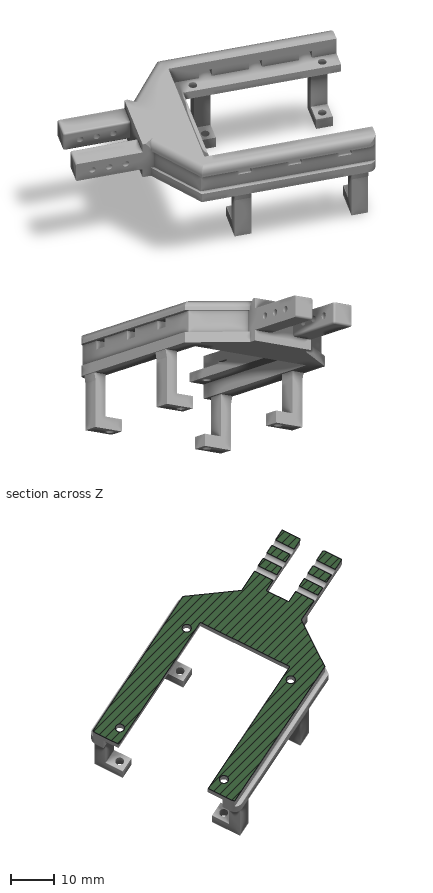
import cadquery as cq
import math

body_width = 40.0
body_length = 53.0
body_height = 10.15
shoulder_y = 11.0
nose_length = 2.0
nose_width = 16.0
top_fillet = 1.7
fillet_runout = 0.75
back_corner_radius = 1.9

groove_depth = 1.05
groove_bottom = 2.5
groove_top = 7.65

pocket_width = 31.75
pocket_front_y = 12.7
opening_width = 23.8
opening_front_y = 15.1
ledge_top = 5.6
ledge_thickness = 2.2
ledge_bottom = ledge_top - ledge_thickness

hole_diameter = 2.0
hole_x = (pocket_width + opening_width) / 4
hole_back_offset = 4.0
hole_pitch = 31.0

slot_width = 3.1
slot_back_offset = 5.85
slot_pitch = 12.0
slot_count = 3

leg_height = 13.0
leg_width = 4.0
leg_outer_x = 19.4
leg_inner_x = 16.5
leg_root_flare = 0.35
leg_flare_height = 1.85
foot_height = 2.9
leg_pitch = 28.0

overall_length = 69.0
arm_length = overall_length - body_length
arm_width = 5.05
arm_fillet = 0.5
arm_hole_diameter = 1.6
arm_hole_pitch = 4.0
arm_hole_count = 3


def box(x_min, x_max, y_min, y_max, z_min, z_max):
    """Axis-aligned block between the given limits."""
    size = (x_max - x_min, y_max - y_min, z_max - z_min)
    return cq.Workplane("XY").box(*size, centered=False).translate((x_min, y_min, z_min))


def centred_box(width, y_min, y_max, z_min, z_max):
    """Block that is symmetric about x = 0."""
    return box(-width / 2, width / 2, y_min, y_max, z_min, z_max)


def tapered_plate(inset, z_min, z_max):
    """Plate with a tapered front and a straight nose; the inset narrows all but the nose."""
    half_width = body_width / 2 - inset
    half_front = nose_width / 2 - inset
    outline = [
        (-half_front, nose_length),
        (half_front, nose_length),
        (half_width, shoulder_y),
        (half_width, body_length),
        (-half_width, body_length),
        (-half_width, shoulder_y),
    ]
    plate = cq.Workplane("XY").workplane(offset=z_min).polyline(outline).close().extrude(z_max - z_min)
    taper_slope = (shoulder_y - nose_length) / (half_width - half_front)
    nose = centred_box(nose_width, 0, nose_length + inset * taper_slope, z_min, z_max)
    return plate.union(nose)


def make_runout_cutter():
    """Continues the +x taper fillet past the nose corner, rising to the top face on a sloped end."""
    reach = fillet_runout + top_fillet
    fillet_space = (
        cq.Workplane("YZ", origin=(-fillet_runout, 0, 0))
        .moveTo(-top_fillet, 0)
        .lineTo(-top_fillet, -top_fillet)
        .lineTo(0, -top_fillet)
        .radiusArc((top_fillet, 0), top_fillet)
        .close()
        .extrude(reach)
    )
    sloped_end = (
        cq.Workplane("XZ", origin=(0, top_fillet, 0))
        .polyline([(-fillet_runout, 0), (0, -top_fillet), (reach, -top_fillet), (reach, 0)])
        .close()
        .extrude(2 * top_fillet)
    )
    taper_angle = math.degrees(math.atan2(shoulder_y - nose_length, (body_width - nose_width) / 2))
    cutter = fillet_space.intersect(sloped_end).rotate((0, 0, 0), (0, 0, 1), taper_angle)
    return cutter.translate((nose_width / 2, nose_length, body_height))


def make_body():
    """Plate with rounded top edges and back corners, and a groove along both sides."""
    plate = tapered_plate(0, 0, body_height)
    margin = 0.1
    side_edges = cq.selectors.BoxSelector(
        (-body_width, nose_length + margin, body_height - margin),
        (body_width, body_length - margin, body_height + margin),
    )
    plate = plate.edges(side_edges).fillet(top_fillet)
    runout = make_runout_cutter()
    plate = plate.cut(runout).cut(runout.mirror("YZ"))
    corner_block = centred_box(body_width, 0, body_length, 0, body_height)
    plate = plate.intersect(corner_block.edges("|Z and >Y").fillet(back_corner_radius))
    band = centred_box(body_width, 0, body_length, groove_bottom, groove_top)
    return plate.cut(band.cut(tapered_plate(groove_depth, groove_bottom, groove_top)))


def cut_frame(body):
    """Open the frame at the back, leaving a ledge along the inside of its three walls."""
    upper = centred_box(pocket_width, pocket_front_y, body_length, ledge_top, body_height)
    lower = centred_box(pocket_width, pocket_front_y, body_length, 0, ledge_bottom)
    opening = centred_box(opening_width, opening_front_y, body_length, 0, body_height)
    return body.cut(upper).cut(lower).cut(opening)


def cut_slots(body):
    """Windows through both side walls, standing on the ledge."""
    for index in range(slot_count):
        y_max = body_length - slot_back_offset - index * slot_pitch
        body = body.cut(centred_box(body_width, y_max - slot_width, y_max, ledge_top, groove_top))
    return body


def vertical_holes(y, z_min, z_max):
    """Pair of vertical screw-hole cutters, one on each side."""
    plane = cq.Workplane("XY").workplane(offset=z_min)
    return plane.pushPoints([(-hole_x, y), (hole_x, y)]).circle(hole_diameter / 2).extrude(z_max - z_min)


def make_leg(y_centre):
    """L-shaped leg on the +x side, flared outwards at its root, with its foot pointing inwards."""
    profile = [
        (leg_inner_x, 0),
        (leg_outer_x + leg_root_flare, 0),
        (leg_outer_x, -leg_flare_height),
        (leg_outer_x, -leg_height),
        (opening_width / 2, -leg_height),
        (opening_width / 2, foot_height - leg_height),
        (leg_inner_x, foot_height - leg_height),
    ]
    plane = cq.Workplane("XZ", origin=(0, y_centre + leg_width / 2, 0))
    leg = plane.polyline(profile).close().extrude(leg_width)
    return leg.cut(vertical_holes(y_centre, -leg_height, foot_height - leg_height))


def make_arm():
    """Arm on the +x side with rounded inner and tip edges and a row of cross holes."""
    outer_x = nose_width / 2
    arm = box(outer_x - arm_width, outer_x, -arm_length, 0, groove_bottom, groove_top)
    inner_and_tip = "(<X and |Y) or (<Y and |X) or (<X and <Y)"
    arm = arm.edges(inner_and_tip).fillet(arm_fillet)
    z_centre = (groove_bottom + groove_top) / 2
    centres = [(-arm_length + (i + 1) * arm_hole_pitch, z_centre) for i in range(arm_hole_count)]
    holes = cq.Workplane("YZ").pushPoints(centres).circle(arm_hole_diameter / 2).extrude(outer_x)
    return arm.cut(holes)


back_hole_y = body_length - hole_back_offset

result = cut_slots(cut_frame(make_body()))
for hole_y in (back_hole_y, back_hole_y - hole_pitch):
    result = result.cut(vertical_holes(hole_y, ledge_bottom, ledge_top))

attachments = [make_arm(), make_leg(back_hole_y), make_leg(back_hole_y - leg_pitch)]
for attachment in attachments:
    result = result.union(attachment).union(attachment.mirror("YZ"))